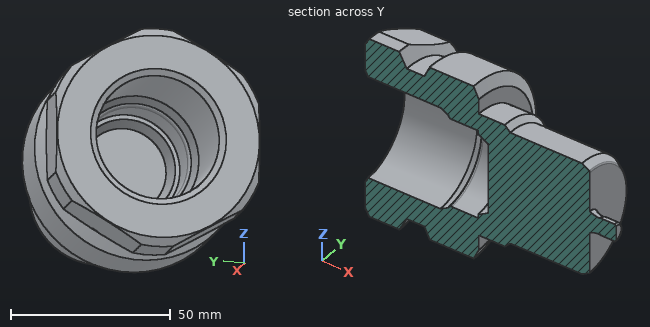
import cadquery as cq
import math

total_length = 96.0
body_end = 85.9

hex_across_flats = 65.2
hex_corner_radius = 35.0
hex_face_radius = 32.4
hex_front_chamfer = 1.5
hex_rear_chamfer_start = 13.1

neck_radius = 29.7
neck_start = 15.9
neck_end = 22.6

collar_radius = 34.0
collar_chamfer = 2.0
collar_end = 43.5

shoulder_radius = 24.0
barrel_radius = 21.9
barrel_start = 55.5
shoulder_chamfer = shoulder_radius - barrel_radius
barrel_chamfer = 2.7
barrel_tip_radius = 20.3
barrel_end = 85.6
rim_rounding = 0.8

pin_radius = 3.5
pin_waist_radius = 3.3
pin_root_radius = 4.3
pin_flare_end = 89.7
pin_waist_end = 90.1
pin_chamfer = 0.6

bore_radius = 19.8
bore_mouth_radius = 21.8
bore_mouth_chamfer = 1.1
bore_depth = 28.8
seat_radius = 17.1
seat_rounding = 1.2
seat_cone_end_radius = 18.0
seat_depth = 43.2
floor_cone_radius = 15.6
floor_radius = 13.5
cone_angle = 30.0


def revolve_about_x(profile):
    """Revolve a closed XZ profile a full turn about the X axis."""
    return profile.close().revolve(360, (0, 0, 0), (1, 0, 0))


def cone_length(large_radius, small_radius):
    """Axial length of an internal cone between two radii."""
    return (large_radius - small_radius) / math.tan(math.radians(cone_angle))


def flare_arc_middle(end_x, end_radius, arc_radius, arc_angle):
    """Middle of an arc that narrows along X and ends parallel to the axis."""
    return (
        end_x - arc_radius * math.sin(arc_angle / 2),
        end_radius + arc_radius * (1 - math.cos(arc_angle / 2)),
    )


def make_body():
    """Turned outside of the part, with the nut left round."""
    flare_length = pin_flare_end - body_end
    flare_rise = pin_root_radius - pin_waist_radius
    flare_radius = (flare_length**2 + flare_rise**2) / (2 * flare_rise)
    flare_angle = math.asin(flare_length / flare_radius)
    flare_middle = flare_arc_middle(pin_flare_end, pin_waist_radius, flare_radius, flare_angle)
    rim_angle = math.acos(1 - (body_end - barrel_end) / rim_rounding)
    face_radius = barrel_tip_radius - rim_rounding * math.sin(rim_angle)
    rim_middle = (
        body_end - rim_rounding * (1 - math.cos(rim_angle / 2)),
        face_radius + rim_rounding * math.sin(rim_angle / 2),
    )
    profile = (
        cq.Workplane("XZ")
        .lineTo(0, hex_face_radius)
        .lineTo(hex_front_chamfer, hex_corner_radius)
        .lineTo(hex_rear_chamfer_start, hex_corner_radius)
        .lineTo(neck_start, neck_radius)
        .lineTo(neck_end, neck_radius)
        .lineTo(neck_end + collar_chamfer, collar_radius)
        .lineTo(collar_end - collar_chamfer, collar_radius)
        .lineTo(collar_end, neck_radius)
        .lineTo(collar_end, shoulder_radius)
        .lineTo(barrel_start - shoulder_chamfer, shoulder_radius)
        .lineTo(barrel_start, barrel_radius)
        .lineTo(barrel_end - barrel_chamfer, barrel_radius)
        .lineTo(barrel_end, barrel_tip_radius)
        .threePointArc(rim_middle, (body_end, face_radius))
        .lineTo(body_end, pin_root_radius)
        .threePointArc(flare_middle, (pin_flare_end, pin_waist_radius))
        .lineTo(pin_waist_end, pin_radius)
        .lineTo(total_length - pin_chamfer, pin_radius)
        .lineTo(total_length, pin_radius - pin_chamfer)
        .lineTo(total_length, 0)
    )
    return revolve_about_x(profile)


def cut_hex_flats(body):
    """Trim the nut to six flats, two of them facing +Y and -Y."""
    across_corners = hex_across_flats / math.cos(math.pi / 6)
    surround = cq.Workplane("YZ").circle(hex_across_flats).extrude(neck_start)
    hexagon = (
        cq.Workplane("YZ")
        .transformed(rotate=(0, 0, 90))
        .polygon(6, across_corners)
        .extrude(neck_start)
    )
    return body.cut(surround.cut(hexagon))


def make_bore():
    """Blind bore with a chamfered mouth, a rounded seat and a coned floor."""
    seat_cone_end = bore_depth + cone_length(bore_radius, seat_cone_end_radius)
    lip_angle = math.acos(1 - (seat_cone_end_radius - seat_radius) / seat_rounding)
    lip_end = seat_cone_end + seat_rounding * math.sin(lip_angle)
    lip_middle = flare_arc_middle(lip_end, seat_radius, seat_rounding, lip_angle)
    floor_depth = seat_depth + cone_length(floor_cone_radius, floor_radius)
    profile = (
        cq.Workplane("XZ")
        .lineTo(0, bore_mouth_radius)
        .lineTo(bore_mouth_chamfer, bore_radius)
        .lineTo(bore_depth, bore_radius)
        .lineTo(seat_cone_end, seat_cone_end_radius)
        .threePointArc(lip_middle, (lip_end, seat_radius))
        .lineTo(seat_depth, seat_radius)
        .lineTo(seat_depth, floor_cone_radius)
        .lineTo(floor_depth, floor_radius)
        .lineTo(floor_depth, 0)
    )
    return revolve_about_x(profile)


result = cut_hex_flats(make_body()).cut(make_bore())